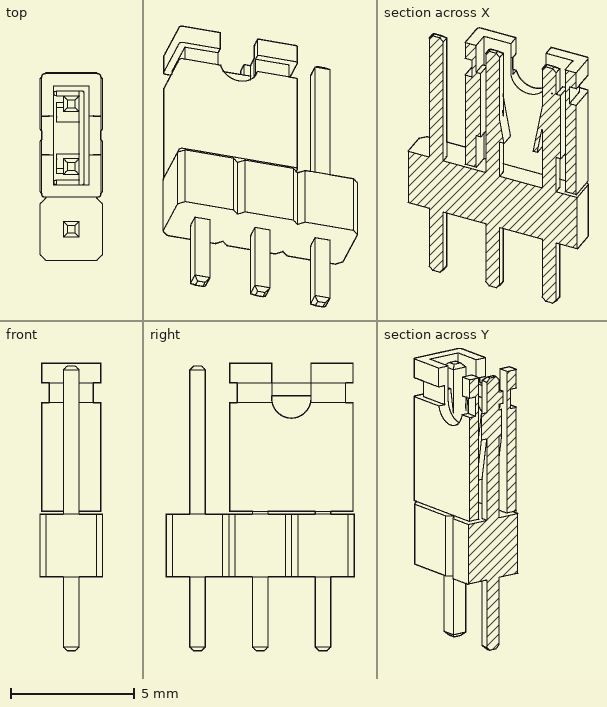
import cadquery as cq


pitch = 2.54
pin_count = 3
block_chamfer = 0.25
pin_size = 0.64
pin_tip_chamfer = 0.16
pin_tail = 3.0
pin_head = 6.0
block_top = pin_tail + pitch
pin_length = block_top + pin_head

housing_width = 2.4
housing_length = 5.0
housing_height = 6.0
housing_top = 11.65
housing_fillet = 0.12
housing_y = 1.26
neck_depth = 0.3
flange_height = 0.8
neck_height = 0.8
housing_wall = 0.5
cavity_width = 2 * 0.715
cavity_length = housing_length - 2 * housing_wall
notch_width = 1.58
notch_bottom = 9.43
housing_bottom = housing_top - housing_height
neck_top = housing_top - flange_height
neck_bottom = neck_top - neck_height

metal = 0.2
contact_length = 3.8
bridge_height = 0.52
bridge_inner_x = pin_size / 2
bridge_outer_x = bridge_inner_x + metal
bend_radius = 0.08
end_wall_tip_x = -0.69
end_wall_tip_length = 0.1
end_wall_tip_step = 0.035
end_wall_tip_drop = 0.2
finger_inner_x = -0.59
finger_outer_x = 0.44
finger_run = 0.59
finger_top_half_gap = 1.235
finger_bottom = 7.2
finger_rise = 0.2
contact_top = neck_top
end_wall_taper_x = end_wall_tip_x + end_wall_tip_length
bridge_bottom = contact_top - bridge_height
finger_top = bridge_bottom + finger_rise
contact_y = housing_y - (cavity_length - contact_length) / 2


def box(x_range, y_range, z_range):
    """Axis-aligned box between the given (low, high) limits."""
    sizes = [high - low for low, high in (x_range, y_range, z_range)]
    corner = (x_range[0], y_range[0], z_range[0])
    return cq.Workplane("XY").box(*sizes, centered=False).translate(corner)


def centred_block(width, length, bottom, top, y):
    """Block centred on X = 0 and on the given Y."""
    return (
        cq.Workplane("XY", origin=(0, y, bottom))
        .rect(width, length)
        .extrude(top - bottom)
    )


def header_unit(y):
    """One insulator block with its square pin, bevelled at both ends."""
    block = centred_block(pitch, pitch, pin_tail, block_top, y)
    block = block.edges("|Z").chamfer(block_chamfer)
    return block.union(pin(y))


def pin(y):
    bar = centred_block(pin_size, pin_size, 0, pin_length, y)
    return bar.faces("<Z or >Z").chamfer(pin_tip_chamfer)


def rounded_block(bottom, top):
    block = centred_block(housing_width, housing_length, bottom, top, housing_y)
    return block.edges("|Z").fillet(housing_fillet)


def housing_notch():
    """Round-bottomed slot across the top of the housing, running along X."""
    radius = notch_width / 2
    axis_z = notch_bottom + radius
    bottom_round = (
        cq.Workplane("YZ", origin=(0, housing_y, axis_z))
        .circle(radius)
        .extrude(housing_width / 2, both=True)
    )
    return bottom_round.union(
        centred_block(housing_width, notch_width, axis_z, housing_top, housing_y)
    )


def housing():
    neck = centred_block(
        housing_width - 2 * neck_depth,
        housing_length - 2 * neck_depth,
        neck_bottom,
        neck_top,
        housing_y,
    )
    cavity = centred_block(cavity_width, cavity_length, housing_bottom, housing_top, housing_y)
    return (
        rounded_block(housing_bottom, neck_bottom)
        .union(neck)
        .union(rounded_block(neck_top, housing_top))
        .cut(cavity)
        .cut(housing_notch())
    )


def contact_frame():
    """Bridge across the top, with an end wall folded down from each of its ends."""
    half = contact_length / 2
    frame = (
        centred_block(2 * bridge_outer_x, contact_length, finger_bottom, contact_top, contact_y)
        .edges("|Z and >X")
        .fillet(bend_radius)
    )
    between_walls = box(
        (-bridge_outer_x, bridge_outer_x),
        (contact_y - half + metal, contact_y + half - metal),
        (finger_bottom, bridge_bottom),
    )
    beside_bridge = box(
        (-bridge_outer_x, bridge_inner_x),
        (contact_y - half, contact_y + half),
        (bridge_bottom, contact_top),
    )
    frame = frame.cut(between_walls).cut(beside_bridge)
    for side in (-1, 1):
        frame = frame.union(end_wall_extension(side)).union(end_wall_tip(side))
    return frame


def end_wall_extension(side):
    """Part of an end wall that reaches past the bridge width to the wall's tip."""
    wall_y = contact_y + side * (contact_length - metal) / 2
    return box(
        (end_wall_taper_x, -bridge_outer_x),
        (wall_y - metal / 2, wall_y + metal / 2),
        (finger_bottom, bridge_bottom),
    )


def end_wall_tip(side):
    """Tapered, slightly lower -X end of the wall at the given end (+1 or -1 along Y)."""
    outer = contact_y + side * contact_length / 2
    inner = outer - side * metal
    return (
        cq.Workplane("XY", origin=(0, 0, finger_bottom))
        .moveTo(end_wall_taper_x, outer)
        .lineTo(end_wall_tip_x, outer - side * end_wall_tip_step)
        .lineTo(end_wall_tip_x, inner + side * end_wall_tip_step)
        .lineTo(end_wall_taper_x, inner)
        .close()
        .extrude(bridge_bottom - end_wall_tip_drop - finger_bottom)
    )


def contact_finger(side):
    """Finger that passes through a pin and leans toward the contact centre as it goes down."""
    top_inner = contact_y + side * finger_top_half_gap
    bottom_inner = top_inner - side * finger_run
    return (
        cq.Workplane("YZ", origin=(finger_inner_x, 0, 0))
        .moveTo(top_inner, finger_top)
        .lineTo(bottom_inner, finger_bottom)
        .lineTo(bottom_inner + side * metal, finger_bottom)
        .lineTo(top_inner + side * metal, finger_top)
        .close()
        .extrude(finger_outer_x - finger_inner_x)
    )


result = housing().union(contact_frame())
for finger_side in (-1, 1):
    result = result.union(contact_finger(finger_side))
for index in range(pin_count):
    result = result.union(header_unit((index - (pin_count - 1) / 2) * pitch))